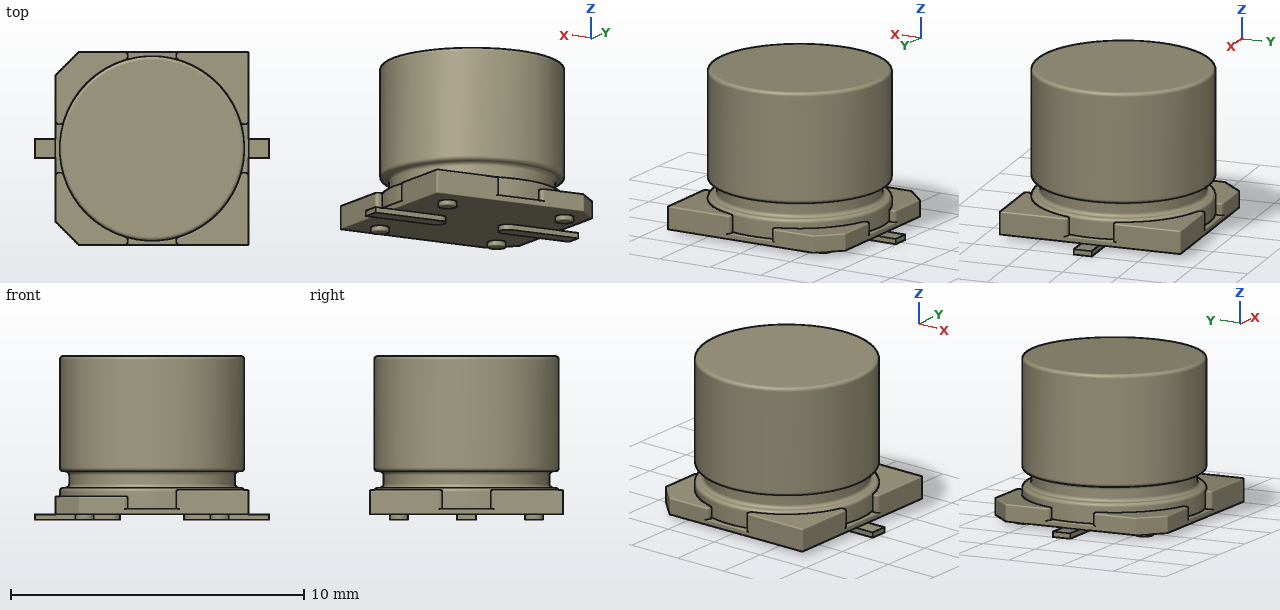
import cadquery as cq
import math


lead_span = 8.0
base_side = 6.6
total_height = 5.6

can_diameter = 6.3
neck_diameter = 5.67
shoulder_z = 1.1
crimp_z = 1.66
can_round = 0.13

base_bottom = 0.19
floor_z = 0.39
low_corner_top = 0.81
high_corner_top = 1.02
notch_width = 1.65
corner_cut = 0.81
nose_round = 0.13
edge_round = 0.06
floor_round = 0.03
underside_round = 0.02
cut_corner_round = 0.04

foot_diameter = 0.63
foot_spacing = 4.61
foot_round = 0.04
lead_width = 0.66
lead_gap = 2.18

can_radius = can_diameter / 2
neck_radius = neck_diameter / 2
half_side = base_side / 2
half_notch = notch_width / 2


def make_can():
    """Can with a rolled neck, revolved about Z."""
    arc_mid = can_round * (1 - 0.5**0.5)
    outer_flat = can_radius - can_round
    inner_flat = neck_radius + can_round
    profile = (
        cq.Workplane("XZ")
        .moveTo(0, floor_z)
        .lineTo(can_radius, floor_z)
        .lineTo(can_radius, shoulder_z - can_round)
        .threePointArc((can_radius - arc_mid, shoulder_z - arc_mid), (outer_flat, shoulder_z))
        .lineTo(inner_flat, shoulder_z)
        .threePointArc((neck_radius + arc_mid, shoulder_z + arc_mid), (neck_radius, shoulder_z + can_round))
        .lineTo(neck_radius, crimp_z - can_round)
        .threePointArc((neck_radius + arc_mid, crimp_z - arc_mid), (inner_flat, crimp_z))
        .lineTo(outer_flat, crimp_z)
        .threePointArc((can_radius - arc_mid, crimp_z + arc_mid), (can_radius, crimp_z + can_round))
        .lineTo(can_radius, total_height - can_round)
        .threePointArc((can_radius - arc_mid, total_height - arc_mid), (outer_flat, total_height))
        .lineTo(0, total_height)
        .close()
    )
    return profile.revolve(360, (0, 0, 0), (0, 1, 0))


def base_blank(bottom, top):
    """Square block with the two -X corners cut off and its vertical edges rounded."""
    return (
        cq.Workplane("XY")
        .workplane(offset=bottom)
        .rect(base_side, base_side)
        .extrude(top - bottom)
        .edges("|Z and <X")
        .chamfer(corner_cut)
        .edges("|Z and >X")
        .fillet(edge_round)
        .edges("|Z")
        .filter(lambda edge: edge.Center().x < 0)
        .fillet(cut_corner_round)
    )


def make_corner(x_sign, y_sign, top):
    """Corner block outside the can, rooted in the plate, with rounded noses beside the notches."""
    root_z = base_bottom + underside_round
    block_size = half_side - half_notch
    block_center = half_notch + block_size / 2
    quadrant = (
        cq.Workplane("XY")
        .box(block_size, block_size, top, centered=(True, True, False))
        .translate((x_sign * block_center, y_sign * block_center, 0))
    )
    can_space = cq.Workplane("XY").circle(can_radius).extrude(top)
    return (
        base_blank(root_z, top)
        .intersect(quadrant)
        .cut(can_space)
        .edges("|Z")
        .filter(is_nose_edge)
        .fillet(nose_round)
        .faces(">Z")
        .edges()
        .fillet(edge_round)
    )


def is_nose_edge(edge):
    """True for an edge that lies on the side plane of a notch."""
    center = edge.Center()
    return math.isclose(min(abs(center.x), abs(center.y)), half_notch, abs_tol=0.0001)


def make_base():
    """Base plate with a low pair of corner blocks at -X and a high pair at +X."""
    base = base_blank(base_bottom, floor_z).faces("<Z").edges().fillet(underside_round)
    base = base.faces(">Z").edges().fillet(floor_round)
    for x_sign, top in ((-1, low_corner_top), (1, high_corner_top)):
        for y_sign in (-1, 1):
            base = base.union(make_corner(x_sign, y_sign, top))
    return base


def make_feet():
    """Four round standoffs under the base corners, rounded at both ends."""
    return (
        cq.Workplane("XY")
        .rect(foot_spacing, foot_spacing, forConstruction=True)
        .vertices()
        .circle(foot_diameter / 2)
        .extrude(base_bottom)
        .faces("<Z or >Z")
        .edges()
        .fillet(foot_round)
    )


def make_lead():
    """Flat lead on the +X side with a round inner end."""
    half_width = lead_width / 2
    inner_end = lead_gap / 2
    return (
        cq.Workplane("XY")
        .moveTo(lead_span / 2, -half_width)
        .lineTo(lead_span / 2, half_width)
        .lineTo(inner_end + half_width, half_width)
        .threePointArc((inner_end, 0), (inner_end + half_width, -half_width))
        .close()
        .extrude(base_bottom)
    )


lead = make_lead()
result = make_base().union(make_can()).union(make_feet()).union(lead).union(lead.mirror("YZ"))